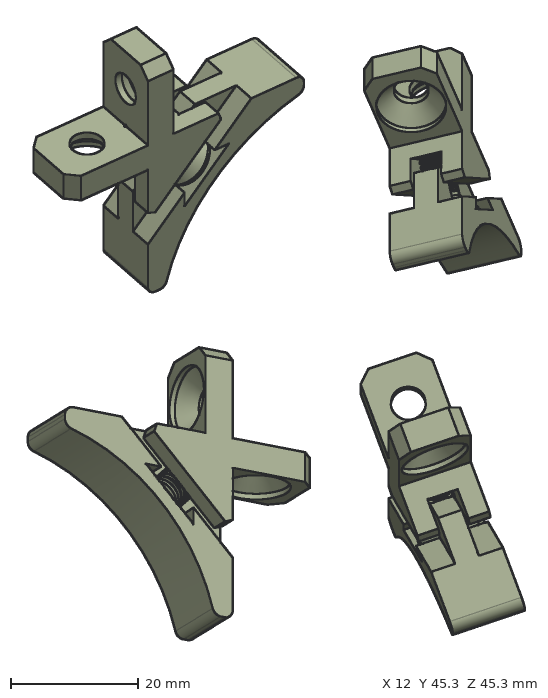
import cadquery as cq
import math

ROOT_2 = math.sqrt(2)

width = 12.0
overall = 45.3

plate_length = 15.0
plate_thickness = 5.0
plate_chamfer = 2.0
mount_hole_diameter = 5.5
mount_hole_position = plate_length / 2
sink_diameter = 11.0
sink_rim_depth = 0.95
sink_cone_depth = (sink_diameter - mount_hole_diameter) / 2

wedge_offset = 15.6
wedge_side = 13.67
wedge_tip_inset = 1.4
bracket_slot_width = 5.03
bracket_slot_offset = 8.55

arm_length = overall - plate_length
arc_center = 38.62
arc_radius = 36.22
tip_fillet = 1.5
shoulder_offset = 20.05
rib_offset = 12.0
rib_width = 4.0

neck_half_width = 3.0
head_slot_half_width = 6.05
head_slot_depth = 16.1

head_diameter = 10.0
head_base_depth = 16.05
head_rim_thickness = 0.6
thread_diameter = 5.0
thread_root_diameter = 4.2
thread_pitch = 0.8
thread_groove_width = 0.65
thread_groove_count = 11
thread_runout = 0.65
drill_tip_angle = 90.0
drill_tip_overshoot = 0.3

drill_slope = math.tan(math.radians(drill_tip_angle / 2))
screw_tip_depth = thread_diameter / 2 / drill_slope - drill_tip_overshoot


def extrude_profile(profile, thickness):
    """Extrude a profile of the YZ plane equally to both sides of X = 0."""
    return profile.extrude(thickness / 2, both=True)


def on_axis(depth, side):
    """Y and Z of a point given by its depth along the screw axis and its distance beside it."""
    return ((side + depth) / ROOT_2, (side - depth) / ROOT_2)


def beyond_offset(offset, thickness):
    """Block on the hook side of the plane Y - Z = offset."""
    far = 2 * overall
    profile = cq.Workplane("YZ").polyline([
        on_axis(offset / ROOT_2, -far),
        on_axis(offset / ROOT_2, far),
        on_axis(far, far),
        on_axis(far, -far),
    ]).close()
    return extrude_profile(profile, thickness)


def revolve_on_screw_axis(points):
    """Turn a (radius, depth) outline about the screw axis."""
    axis_plane = cq.Plane(origin=(0, 0, 0), xDir=(1, 0, 0), normal=(0, 1, 1))
    return cq.Workplane(axis_plane).polyline(points).close().revolve(360, (0, 0), (0, 1))


def make_mounting_plate():
    """Upright plate with chamfered end corners and a hole countersunk from its +Y side."""
    plate = (
        cq.Workplane("XY")
        .box(width, plate_thickness, plate_length, centered=(True, False, False))
        .edges("|Y and >Z")
        .chamfer(plate_chamfer)
    )
    hole_radius = mount_hole_diameter / 2
    sink_radius = sink_diameter / 2
    cone_end = plate_thickness - sink_rim_depth
    hole = (
        cq.Workplane("XY")
        .polyline([
            (0, 0),
            (hole_radius, 0),
            (hole_radius, cone_end - sink_cone_depth),
            (sink_radius, cone_end),
            (sink_radius, plate_thickness),
            (0, plate_thickness),
        ])
        .close()
        .revolve(360, (0, 0), (0, 1))
        .translate((0, 0, mount_hole_position))
    )
    return plate.cut(hole)


def make_screw_hole():
    """Drilled hole whose conical end just breaks through the corner between the plates."""
    radius = thread_diameter / 2
    return revolve_on_screw_axis([
        (0, -drill_tip_overshoot),
        (radius, screw_tip_depth),
        (radius, wedge_offset / ROOT_2),
        (0, wedge_offset / ROOT_2),
    ])


def make_bracket():
    """Two plates at a right angle, on a slotted wedge that takes the screw."""
    upright = make_mounting_plate()
    level = upright.mirror("XZ").rotate((0, 0, 0), (1, 0, 0), 90)
    tip = wedge_offset - wedge_tip_inset
    wedge = extrude_profile(
        cq.Workplane("YZ").polyline([
            (0, 0),
            (wedge_side, 0),
            (tip, -wedge_tip_inset),
            (wedge_tip_inset, -tip),
            (0, -wedge_side),
        ]).close(),
        width,
    )
    wedge = wedge.cut(beyond_offset(bracket_slot_offset, bracket_slot_width))
    return wedge.union(upright).union(level).cut(make_screw_hole())


def make_hook():
    """Concave two-armed hook with a central rib and a slot for the screw head."""
    arc_reach = math.sqrt(arc_radius**2 - (arc_center - arm_length) ** 2)
    tip_thickness = arc_center - arc_reach
    arc_middle = arc_center - arc_radius / ROOT_2
    outline = (
        cq.Workplane("YZ")
        .moveTo(0, 0)
        .lineTo(arm_length, 0)
        .lineTo(arm_length, -tip_thickness)
        .threePointArc((arc_middle, -arc_middle), (tip_thickness, -arm_length))
        .lineTo(0, -arm_length)
        .close()
    )
    body = extrude_profile(outline, width)
    body = body.edges("|X and (>Y or <Z)").fillet(tip_fillet)
    rib = body.intersect(beyond_offset(rib_offset, rib_width))
    arms = body.intersect(beyond_offset(shoulder_offset, width))
    return arms.union(rib).cut(make_head_slot())


def make_head_slot():
    """Slot along X: a neck for the thread that widens at 45 degrees down to a flat floor."""
    shoulder_depth = head_slot_depth - (head_slot_half_width - neck_half_width)
    half_outline = [
        (0, neck_half_width),
        (shoulder_depth, neck_half_width),
        (head_slot_depth, head_slot_half_width),
    ]
    outline = [on_axis(depth, side) for depth, side in half_outline]
    outline += [on_axis(depth, -side) for depth, side in reversed(half_outline)]
    return extrude_profile(cq.Workplane("YZ").polyline(outline).close(), width)


def make_screw():
    """Countersunk screw with its thread as equally spaced V-grooves."""
    head_radius = head_diameter / 2
    crest = thread_diameter / 2
    root = thread_root_diameter / 2
    rim_depth = head_base_depth - head_rim_thickness
    neck_depth = rim_depth - (head_radius - crest)
    outline = [
        (0, head_base_depth),
        (head_radius, head_base_depth),
        (head_radius, rim_depth),
        (crest, neck_depth),
    ]
    for groove in range(thread_groove_count):
        groove_start = neck_depth - thread_runout - groove * thread_pitch
        outline += [
            (crest, groove_start),
            (root, groove_start - thread_groove_width / 2),
            (crest, groove_start - thread_groove_width),
        ]
    outline += [(crest, screw_tip_depth), (0, screw_tip_depth)]
    return revolve_on_screw_axis(outline)


bracket = make_bracket()
hook = make_hook()
screw = make_screw()

result = cq.Compound.makeCompound([part.solids().val() for part in (bracket, hook, screw)])